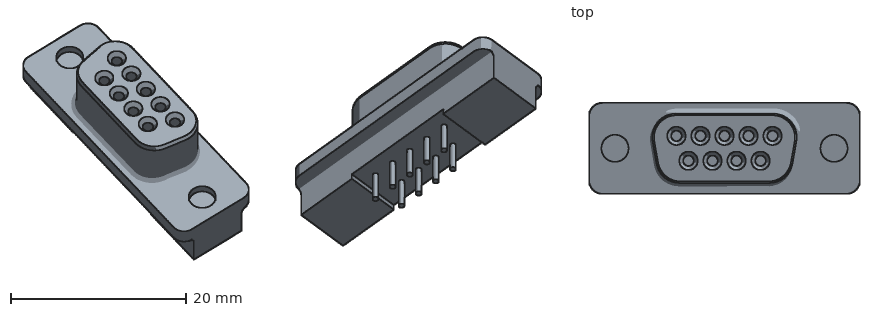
import cadquery as cq
import math


overall_height = 15.34

flange_length = 30.89
flange_width = 10.41
flange_thickness = 1.95
flange_corner_radius = 1.5
mount_hole_diameter = 3.1
mount_hole_spacing = 25.0
mount_hole_depth = 1.0

body_width = 6.84
body_depth = 6.03
body_blend_radius = 0.75
notch_length = 14.6
notch_height = 0.75

shell_height = 6.14
shell_width = 7.92
shell_length = 16.5
shell_corner_radius = 2.7
shell_side_angle = math.radians(10)
shell_base_blend = 0.75
shell_bevel_height = 0.53
shell_bevel_inset = 0.2

contact_pitch = 2.743
row_spacing = 2.84
contact_counts = {row_spacing / 2: 5, -row_spacing / 2: 4}
pin_diameter = 0.68
pin_length = overall_height - shell_height - body_depth + notch_height
socket_mouth_diameter = 2.1
socket_bore_diameter = 1.2
socket_cone_depth = 0.55
socket_depth = 5.0


def contact_points():
    """XY centres of all contacts, each row centred on X = 0."""
    return [
        ((index - (count - 1) / 2) * contact_pitch, row_y)
        for row_y, count in contact_counts.items()
        for index in range(count)
    ]


def make_flange():
    return (
        cq.Workplane("XY")
        .rect(flange_length, flange_width)
        .extrude(-flange_thickness)
        .edges("|Z")
        .fillet(flange_corner_radius)
    )


def make_body():
    """Full-length block, flaring with concave arcs into the underside of the flange."""
    half_width = body_width / 2
    flare_half_width = half_width + body_blend_radius
    blend_bottom = -flange_thickness - body_blend_radius
    arc_offset = body_blend_radius * (1 - math.sqrt(0.5))
    arc_y = half_width + arc_offset
    arc_z = -flange_thickness - arc_offset
    top_half_width = flange_width / 2 - flange_corner_radius
    body = (
        cq.Workplane("YZ")
        .moveTo(-half_width, -body_depth)
        .lineTo(half_width, -body_depth)
        .lineTo(half_width, blend_bottom)
        .threePointArc((arc_y, arc_z), (flare_half_width, -flange_thickness))
        .lineTo(top_half_width, -flange_thickness)
        .lineTo(top_half_width, 0)
        .lineTo(-top_half_width, 0)
        .lineTo(-top_half_width, -flange_thickness)
        .lineTo(-flare_half_width, -flange_thickness)
        .threePointArc((-arc_y, arc_z), (-half_width, blend_bottom))
        .close()
        .extrude(flange_length / 2, both=True)
    )
    notch = (
        cq.Workplane("XY", origin=(0, 0, -body_depth))
        .rect(notch_length, body_width)
        .extrude(notch_height)
    )
    return body.cut(notch)


def make_shell():
    """D-shaped prism, wide side at +Y, with rounded corners and a steep bevel round its top."""
    half_width = shell_width / 2
    side_slope = math.tan(shell_side_angle)
    arc_x = shell_length / 2 - shell_corner_radius
    arc_y = half_width - shell_corner_radius
    side_x_at_arc = arc_x + shell_corner_radius / math.cos(shell_side_angle)
    wide_x = side_x_at_arc + (half_width - arc_y) * side_slope
    narrow_x = side_x_at_arc - (half_width + arc_y) * side_slope
    outline = [
        (-narrow_x, -half_width),
        (narrow_x, -half_width),
        (wide_x, half_width),
        (-wide_x, half_width),
    ]
    prism = cq.Workplane("XY").polyline(outline).close().extrude(shell_height)
    rounded = prism.edges("|Z").fillet(shell_corner_radius)
    return rounded.faces(">Z").chamfer(shell_bevel_height, shell_bevel_inset)


def blend_shell_base(part):
    """Concave fillet where the shell meets the flange."""
    margin = shell_base_blend / 2
    shell_base = cq.selectors.BoxSelector(
        (-shell_length / 2 - margin, -shell_width / 2 - margin, -margin),
        (shell_length / 2 + margin, shell_width / 2 + margin, margin),
        boundingbox=True,
    )
    return part.edges(shell_base).fillet(shell_base_blend)


def cut_mount_holes(part):
    """Shallow round recesses at both ends of the flange."""
    holes = (
        cq.Workplane("XY")
        .pushPoints([(-mount_hole_spacing / 2, 0), (mount_hole_spacing / 2, 0)])
        .circle(mount_hole_diameter / 2)
        .extrude(-mount_hole_depth)
    )
    return part.cut(holes)


def cut_sockets(part):
    """Blind contact bores with conical lead-ins, open at the top of the shell."""
    mouth_radius = socket_mouth_diameter / 2
    bore_radius = socket_bore_diameter / 2
    socket = (
        cq.Workplane("XZ")
        .polyline([
            (0, shell_height),
            (mouth_radius, shell_height),
            (bore_radius, shell_height - socket_cone_depth),
            (bore_radius, shell_height - socket_depth),
            (0, shell_height - socket_depth),
        ])
        .close()
        .revolve(360, (0, 0, 0), (0, 1, 0))
    )
    for x, y in contact_points():
        part = part.cut(socket.translate((x, y, 0)))
    return part


def make_pins():
    """Round solder pins hanging from the floor of the notch, one below each socket."""
    notch_floor = -body_depth + notch_height
    return (
        cq.Workplane("XY", origin=(0, 0, notch_floor))
        .pushPoints(contact_points())
        .circle(pin_diameter / 2)
        .extrude(-pin_length)
    )


housing = make_flange().union(make_body()).union(make_shell())
housing = blend_shell_base(housing)
housing = cut_mount_holes(housing)
housing = cut_sockets(housing)
result = housing.union(make_pins())